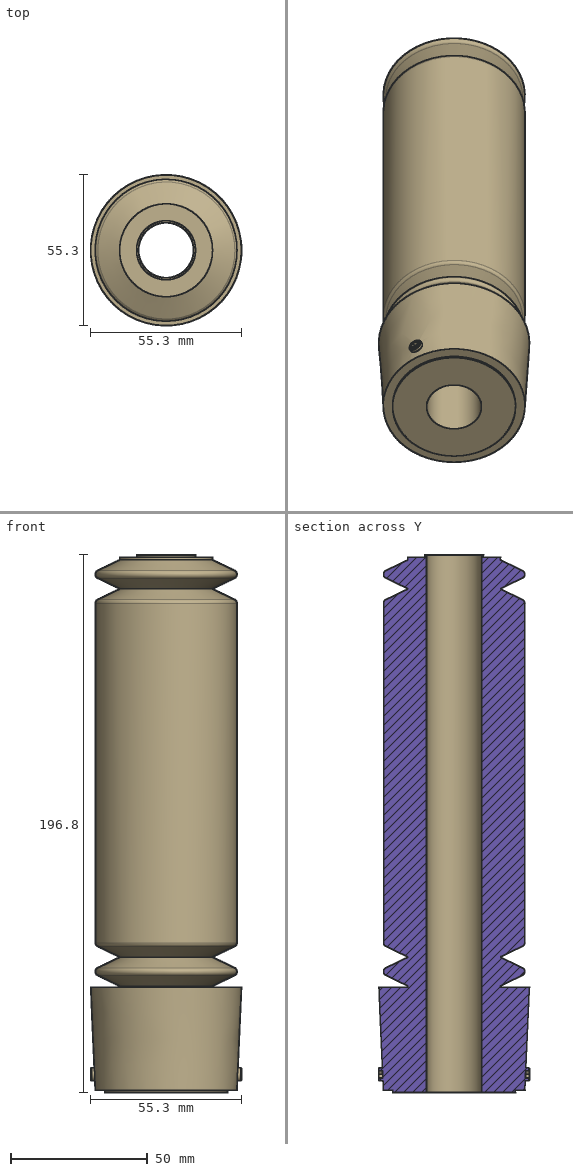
import cadquery as cq
import math

TOTAL_HEIGHT = 196.8
BORE_DIAMETER = 20.0
LIP_HEIGHT = 0.8

BODY_RADIUS = 52.0 / 2
NECK_RADIUS = 34.0 / 2
EDGE_RADIUS = 1.5
FLANK_HEIGHT = 5.3

TOP_LIP_DIAMETER = 21.6
RIM_HEIGHT = 1.0

COLLAR_HEIGHT = 38.5
COLLAR_TOP_RADIUS = 55.3 / 2
COLLAR_BOTTOM_RADIUS = BODY_RADIUS
BOTTOM_LIP_DIAMETER = 45.0
COLLAR_NECK_HEIGHT = 0.4

SCREW_DIAMETER = 5.0
SCREW_CHAMFER = 0.4
SCREW_Z = 6.7
SCREW_TIP_X = COLLAR_TOP_RADIUS
SCREW_ROOT_X = 19.7
SOCKET_DIAMETER = 3.0
SOCKET_DEPTH = 1.5

LOWER_NECK_Z = COLLAR_HEIGHT + COLLAR_NECK_HEIGHT
LOWER_DISC_Z = LOWER_NECK_Z + FLANK_HEIGHT
LOWER_GROOVE_Z = LOWER_DISC_Z + FLANK_HEIGHT
BODY_BOTTOM_Z = LOWER_GROOVE_Z + FLANK_HEIGHT
RIM_TOP_Z = TOTAL_HEIGHT - LIP_HEIGHT
RIM_BOTTOM_Z = RIM_TOP_Z - RIM_HEIGHT
UPPER_DISC_Z = RIM_BOTTOM_Z - FLANK_HEIGHT
UPPER_GROOVE_Z = UPPER_DISC_Z - FLANK_HEIGHT
BODY_TOP_Z = UPPER_GROOVE_Z - FLANK_HEIGHT

EDGE_CENTRE_RADIUS = BODY_RADIUS - EDGE_RADIUS
NECK_OFFSET = NECK_RADIUS - EDGE_CENTRE_RADIUS
NECK_DISTANCE = math.hypot(NECK_OFFSET, FLANK_HEIGHT)
TANGENT_ANGLE = math.atan2(FLANK_HEIGHT, NECK_OFFSET) - math.acos(EDGE_RADIUS / NECK_DISTANCE)


def edge_point(edge_z, angle):
    """Point (radius, z) on the edge rounding centred at height edge_z."""
    return (
        EDGE_CENTRE_RADIUS + EDGE_RADIUS * math.cos(angle),
        edge_z + EDGE_RADIUS * math.sin(angle),
    )


def add_rounded_edge(profile, start_z, end_z):
    """Rise over one rounded edge, from the flank below start_z to the flank above end_z."""
    profile = profile.lineTo(*edge_point(start_z, -TANGENT_ANGLE))
    if start_z == end_z:
        return profile.threePointArc(edge_point(start_z, 0), edge_point(start_z, TANGENT_ANGLE))
    return (
        profile.threePointArc(edge_point(start_z, -TANGENT_ANGLE / 2), edge_point(start_z, 0))
        .lineTo(*edge_point(end_z, 0))
        .threePointArc(edge_point(end_z, TANGENT_ANGLE / 2), edge_point(end_z, TANGENT_ANGLE))
    )


def make_turned_body():
    profile = (
        cq.Workplane("XZ")
        .lineTo(BOTTOM_LIP_DIAMETER / 2, 0)
        .lineTo(BOTTOM_LIP_DIAMETER / 2, LIP_HEIGHT)
        .lineTo(COLLAR_BOTTOM_RADIUS, LIP_HEIGHT)
        .lineTo(COLLAR_TOP_RADIUS, COLLAR_HEIGHT)
        .lineTo(NECK_RADIUS, COLLAR_HEIGHT)
        .lineTo(NECK_RADIUS, LOWER_NECK_Z)
    )
    profile = add_rounded_edge(profile, LOWER_DISC_Z, LOWER_DISC_Z)
    profile = profile.lineTo(NECK_RADIUS, LOWER_GROOVE_Z)
    profile = add_rounded_edge(profile, BODY_BOTTOM_Z, BODY_TOP_Z)
    profile = profile.lineTo(NECK_RADIUS, UPPER_GROOVE_Z)
    profile = add_rounded_edge(profile, UPPER_DISC_Z, UPPER_DISC_Z)
    profile = (
        profile.lineTo(NECK_RADIUS, RIM_BOTTOM_Z)
        .lineTo(NECK_RADIUS, RIM_TOP_Z)
        .lineTo(TOP_LIP_DIAMETER / 2, RIM_TOP_Z)
        .lineTo(TOP_LIP_DIAMETER / 2, TOTAL_HEIGHT)
        .lineTo(0, TOTAL_HEIGHT)
        .close()
    )
    return profile.revolve(360, (0, 0, 0), (0, 1, 0))


def make_screw():
    """Screw with a hexagon socket, pointing out along +X."""
    return (
        cq.Workplane("YZ", origin=(SCREW_ROOT_X, 0, SCREW_Z))
        .circle(SCREW_DIAMETER / 2)
        .extrude(SCREW_TIP_X - SCREW_ROOT_X)
        .faces(">X")
        .chamfer(SCREW_CHAMFER)
        .faces(">X")
        .workplane()
        .polygon(6, SOCKET_DIAMETER)
        .cutBlind(-SOCKET_DEPTH)
    )


result = make_turned_body()
for turn in (0, 180):
    result = result.union(make_screw().rotate((0, 0, 0), (0, 0, 1), turn))
result = result.cut(cq.Workplane("XY").circle(BORE_DIAMETER / 2).extrude(TOTAL_HEIGHT))